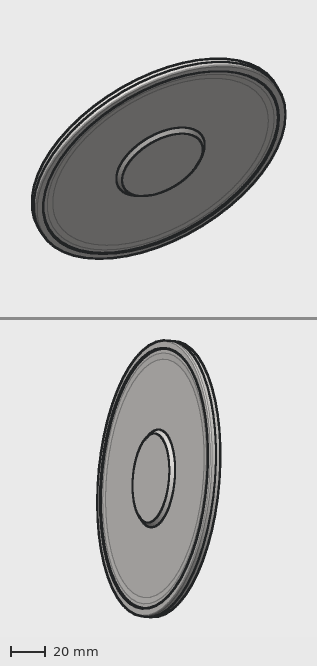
import cadquery as cq
import math

overall_thickness = 10.0
disc_diameter = 160.0
rim_thickness = 6.3

rim_face_diameter = 158.6
disc_radius = disc_diameter / 2
rim_face_radius = rim_face_diameter / 2
rim_fillet = disc_radius - rim_face_radius

hub_height = overall_thickness / 2
rim_height = rim_thickness / 2
ledge_height = 2.7
web_height = 2.5

rim_inner_radius = 75.5
ledge_outer_radius = rim_inner_radius - (rim_height - ledge_height)
ledge_inner_radius = 72.6
web_radius = 69.0
hub_top_radius = 25.8
hub_base_radius = hub_top_radius + (hub_height - web_height)


def disc_half(side):
    """One solid half disc on the given side (-1 or +1) of the meeting plane."""
    fillet_centre_height = rim_height - rim_fillet
    fillet_reach = rim_fillet * math.cos(math.radians(45))
    fillet_middle = (side * (fillet_centre_height + fillet_reach), rim_face_radius + fillet_reach)

    profile = (
        cq.Workplane("XY")
        .lineTo(side * hub_height, 0)
        .lineTo(side * hub_height, hub_top_radius)
        .lineTo(side * web_height, hub_base_radius)
        .lineTo(side * web_height, web_radius)
        .lineTo(side * ledge_height, ledge_inner_radius)
        .lineTo(side * ledge_height, ledge_outer_radius)
        .lineTo(side * rim_height, rim_inner_radius)
        .lineTo(side * rim_height, rim_face_radius)
        .threePointArc(fillet_middle, (side * fillet_centre_height, disc_radius))
        .lineTo(0, disc_radius)
        .close()
    )
    return profile.revolve(360, (0, 0, 0), (1, 0, 0))


halves = [disc_half(side) for side in (-1, 1)]

result = cq.Compound.makeCompound([half.val() for half in halves])